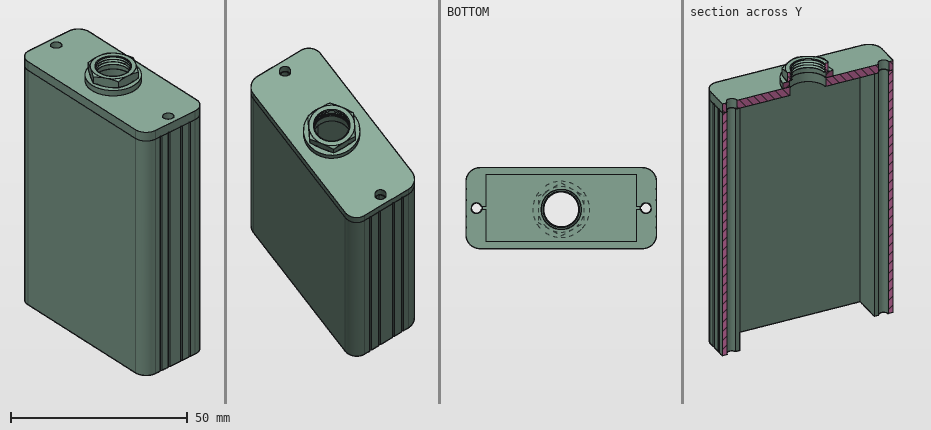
import cadquery as cq
import math

WIDTH = 54.0
DEPTH = 23.0
TOTAL_HEIGHT = 87.8
CORNER_RADIUS = 4.0

LID_THICKNESS = 3.0
WASHER_THICKNESS = 1.85
NUT_THICKNESS = 3.0
HOUSING_HEIGHT = TOTAL_HEIGHT - LID_THICKNESS - WASHER_THICKNESS - NUT_THICKNESS
LID_TOP = HOUSING_HEIGHT + LID_THICKNESS
WASHER_TOP = LID_TOP + WASHER_THICKNESS

WALL = 2.0
CAVITY_WIDTH = 42.5
CAVITY_DEPTH = DEPTH - 2 * WALL
SCREW_OFFSET = 24.0
SCREW_POINTS = [(-SCREW_OFFSET, 0), (SCREW_OFFSET, 0)]
SCREW_CLEARANCE_DIAMETER = 3.2
SCREW_CHANNEL_DIAMETER = 2.8
CHANNEL_SLIT_WIDTH = 0.9

GROOVE_WIDTH = 0.7
GROOVE_SLOPE = 35.0
GROOVE_DEPTH = GROOVE_WIDTH / 2 * math.tan(math.radians(GROOVE_SLOPE))
CENTRAL_LAND_WIDTH = 3.95
INNER_GROOVE_OFFSET = (CENTRAL_LAND_WIDTH + GROOVE_WIDTH) / 2
OUTER_GROOVE_OFFSET = 5.45
GROOVE_POSITIONS = [-OUTER_GROOVE_OFFSET, -INNER_GROOVE_OFFSET, INNER_GROOVE_OFFSET, OUTER_GROOVE_OFFSET]

OUTLET_Y = 0.35
LID_BORE_DIAMETER = 11.2
WASHER_DIAMETER = 16.0
WASHER_BORE_DIAMETER = 11.4
NUT_ACROSS_FLATS = 13.0
NUT_ACROSS_CORNERS = NUT_ACROSS_FLATS / math.cos(math.radians(30))
NUT_CHAMFER_ANGLE = 25.0

THREAD_MINOR_DIAMETER = 9.8
THREAD_MAJOR_DIAMETER = 11.2
THREAD_MOUTH_DIAMETER = 10.4
THREAD_MOUTH_DEPTH = 0.3
THREAD_TURNS = 3
THREAD_PITCH = (NUT_THICKNESS - 2 * THREAD_MOUTH_DEPTH) / THREAD_TURNS


def enclosure_block(base, height):
    """Upright block with the rounded outline of the enclosure."""
    block = cq.Workplane("XY").workplane(offset=base).rect(WIDTH, DEPTH).extrude(height)
    return block.edges("|Z").fillet(CORNER_RADIUS)


def side_groove(side, y):
    """V-groove cutter in the face at X = side * WIDTH / 2."""
    face = side * WIDTH / 2
    profile = [
        (face, y - GROOVE_WIDTH / 2),
        (face - side * GROOVE_DEPTH, y),
        (face, y + GROOVE_WIDTH / 2),
    ]
    return cq.Workplane("XY").polyline(profile).close().extrude(HOUSING_HEIGHT)


def make_housing():
    """Open extruded tube with slit screw channels and grooved sides."""
    body = enclosure_block(0, HOUSING_HEIGHT)
    body = body.cut(cq.Workplane("XY").rect(CAVITY_WIDTH, CAVITY_DEPTH).extrude(HOUSING_HEIGHT))
    channels = cq.Workplane("XY").pushPoints(SCREW_POINTS).circle(SCREW_CHANNEL_DIAMETER / 2)
    body = body.cut(channels.extrude(HOUSING_HEIGHT))
    slit = cq.Workplane("XY").rect(2 * SCREW_OFFSET, CHANNEL_SLIT_WIDTH)
    body = body.cut(slit.extrude(HOUSING_HEIGHT))
    for side in (-1, 1):
        for y in GROOVE_POSITIONS:
            body = body.cut(side_groove(side, y))
    return body


def make_lid():
    """Plate with two screw holes and the outlet bore."""
    plate = enclosure_block(HOUSING_HEIGHT, LID_THICKNESS)
    base = cq.Workplane("XY").workplane(offset=HOUSING_HEIGHT)
    screws = base.pushPoints(SCREW_POINTS).circle(SCREW_CLEARANCE_DIAMETER / 2).extrude(LID_THICKNESS)
    bore = base.center(0, OUTLET_Y).circle(LID_BORE_DIAMETER / 2).extrude(LID_THICKNESS)
    return plate.cut(screws).cut(bore)


def make_washer():
    """Plain round washer on top of the lid."""
    plane = cq.Workplane("XY").workplane(offset=LID_TOP).center(0, OUTLET_Y)
    return plane.circle(WASHER_DIAMETER / 2).circle(WASHER_BORE_DIAMETER / 2).extrude(WASHER_THICKNESS)


def nut_envelope():
    """Round body whose conical ends chamfer the corners of the hexagon."""
    face_radius = NUT_ACROSS_FLATS / 2
    outer_radius = NUT_ACROSS_CORNERS / 2
    drop = (outer_radius - face_radius) * math.tan(math.radians(NUT_CHAMFER_ANGLE))
    profile = [
        (0, 0),
        (face_radius, 0),
        (outer_radius, drop),
        (outer_radius, NUT_THICKNESS - drop),
        (face_radius, NUT_THICKNESS),
        (0, NUT_THICKNESS),
    ]
    return cq.Workplane("XZ").polyline(profile).close().revolve(360, (0, 0), (0, 1))


def thread_core():
    """Core that gives the nut bore chamfered mouths and V-shaped thread grooves."""
    minor = THREAD_MINOR_DIAMETER / 2
    major = THREAD_MAJOR_DIAMETER / 2
    mouth = THREAD_MOUTH_DIAMETER / 2
    profile = [(0, 0), (mouth, 0), (minor, THREAD_MOUTH_DEPTH)]
    for turn in range(THREAD_TURNS):
        profile.append((major, THREAD_MOUTH_DEPTH + (turn + 0.5) * THREAD_PITCH))
        profile.append((minor, THREAD_MOUTH_DEPTH + (turn + 1) * THREAD_PITCH))
    profile += [(mouth, NUT_THICKNESS), (0, NUT_THICKNESS)]
    return cq.Workplane("XZ").polyline(profile).close().revolve(360, (0, 0), (0, 1))


def make_nut():
    """Threaded hex nut with corners along Y."""
    hexagon = cq.Workplane("XY").polygon(6, NUT_ACROSS_CORNERS).extrude(NUT_THICKNESS)
    hexagon = hexagon.rotate((0, 0, 0), (0, 0, 1), 30)
    nut = hexagon.intersect(nut_envelope()).cut(thread_core())
    return nut.translate((0, OUTLET_Y, WASHER_TOP))


housing = make_housing()
lid = make_lid()
washer = make_washer()
nut = make_nut()

result = cq.Compound.makeCompound([housing.val(), lid.val(), washer.val(), nut.val()])